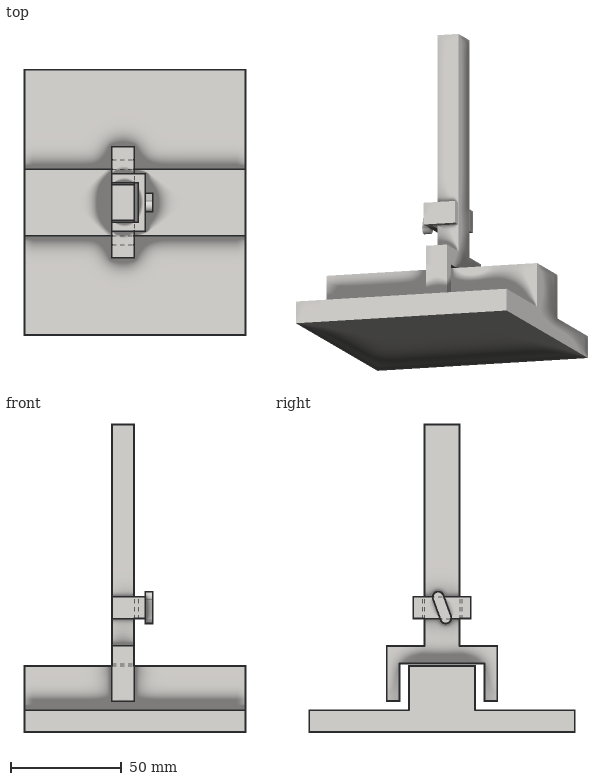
import cadquery as cq

total_height = 139.0

base_length = 100.0
base_width = 120.0
plate_thickness = 10.0
rail_width = 30.0
rail_height = 20.0

fork_left_x = -10.4
fork_thickness = 10.0
fork_span = 50.0
fork_leg_width = 5.8
fork_leg_height = 25.0
fork_bridge_height = 8.0
post_width = 16.0
rail_clearance = 1.0

clip_depth = 15.0
clip_width = 26.0
clip_height = 10.0
clip_side_wall = 4.0
clip_back_wall = 3.0
clip_above_fork = 12.2

lever_length = 15.0
lever_width = 5.0
lever_thickness = 3.5
lever_tilt = 20.0

rail_top_z = plate_thickness + rail_height
bridge_bottom_z = rail_top_z + rail_clearance
fork_top_z = bridge_bottom_z + fork_bridge_height
fork_bottom_z = fork_top_z - fork_leg_height
clip_bottom_z = fork_top_z + clip_above_fork
clip_middle_z = clip_bottom_z + clip_height / 2
clip_back_x = fork_left_x + clip_depth


def block(left_x, length, width, bottom_z, height):
    """Box centred on Y, starting at left_x and resting on bottom_z."""
    return (
        cq.Workplane("XY")
        .box(length, width, height, centered=(False, True, False))
        .translate((left_x, 0, bottom_z))
    )


def make_base():
    left_x = -base_length / 2
    plate = block(left_x, base_length, base_width, 0, plate_thickness)
    rail = block(left_x, base_length, rail_width, plate_thickness, rail_height)
    return plate.union(rail)


def make_fork():
    body = block(fork_left_x, fork_thickness, fork_span, fork_bottom_z, fork_leg_height)
    rail_gap = block(
        fork_left_x,
        fork_thickness,
        fork_span - 2 * fork_leg_width,
        fork_bottom_z,
        bridge_bottom_z - fork_bottom_z,
    )
    post = block(fork_left_x, fork_thickness, post_width, fork_top_z, total_height - fork_top_z)
    return body.cut(rail_gap).union(post)


def make_clip():
    body = block(fork_left_x, clip_depth, clip_width, clip_bottom_z, clip_height)
    opening = block(
        fork_left_x,
        clip_depth - clip_back_wall,
        clip_width - 2 * clip_side_wall,
        clip_bottom_z,
        clip_height,
    )
    return body.cut(opening)


def make_lever():
    return (
        cq.Workplane("YZ", origin=(clip_back_x, 0, clip_middle_z))
        .slot2D(lever_length, lever_width, 90 + lever_tilt)
        .extrude(lever_thickness)
    )


base = make_base()
fork = make_fork()
clip = make_clip()
lever = make_lever()

result = cq.Compound.makeCompound([base.val(), fork.val(), clip.val(), lever.val()])